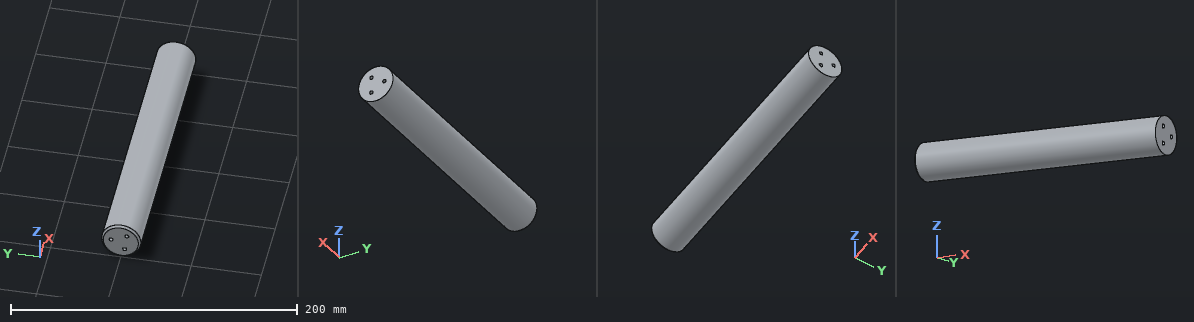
import cadquery as cq
import math

length = 200.0
diameter = 28.0
chamfer = 1.5

channel_count = 3
channel_diameter = 2.5
channel_circle_radius = 7.0
first_channel_angle = 7.3
surface_helix_angle = 30.0

helix_pitch = math.pi * diameter / math.tan(math.radians(surface_helix_angle))
total_twist = 360 * length / helix_pitch


def end_plane():
    """Workplane on the -X end, facing along the bar."""
    return cq.Workplane("YZ", origin=(-length / 2, 0, 0))


def make_bar():
    """Solid round bar, chamfered at its -X end."""
    bar = end_plane().circle(diameter / 2).extrude(length)
    return bar.faces("<X").chamfer(chamfer)


def make_channel(start_angle):
    """Round channel that twists right-handed about the bar's axis."""
    angle = math.radians(start_angle)
    centre_y = channel_circle_radius * math.cos(angle)
    centre_z = channel_circle_radius * math.sin(angle)
    section = end_plane().pushPoints([(centre_y, centre_z)]).circle(channel_diameter / 2)
    return section.twistExtrude(length, total_twist)


result = make_bar()
for index in range(channel_count):
    result = result.cut(make_channel(first_channel_angle + index * 360 / channel_count))